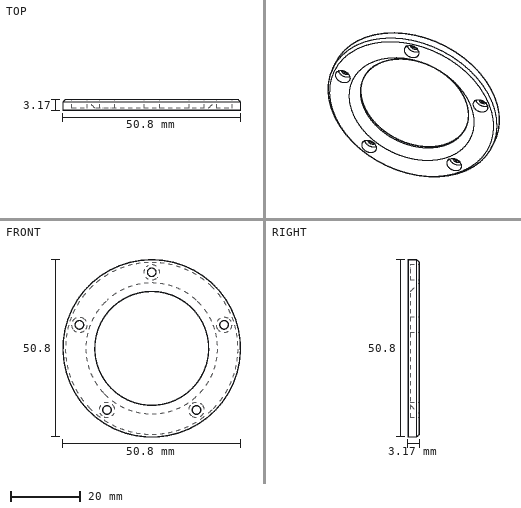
import cadquery as cq

outer_diameter = 50.8
bore_diameter = 32.5
thickness = 3.175
rim_chamfer = 0.762

bore_land = 0.635
bore_flare = thickness - bore_land

hole_count = 5
hole_diameter = 2.4
hole_circle_diameter = 43.5
counterbore_diameter = 4.4
counterbore_floor = bore_land


def plane_at(depth):
    """Workplane facing +Y at the given depth behind the front face; its local x axis is +Z."""
    plane = cq.Plane(origin=(0, depth, 0), xDir=(0, 0, 1), normal=(0, 1, 0))
    return cq.Workplane(plane)


def make_disc():
    """Round disc with its back outer edge chamfered."""
    disc = plane_at(0).circle(outer_diameter / 2).extrude(thickness)
    return disc.faces(">Y").edges().chamfer(rim_chamfer)


def make_bore():
    """Cutter for the central opening: a straight land, then a cone widening to the back."""
    bore_radius = bore_diameter / 2
    land = plane_at(0).circle(bore_radius).extrude(bore_land)
    cone = cq.Solid.makeCone(
        bore_radius,
        bore_radius + bore_flare,
        bore_flare,
        pnt=cq.Vector(0, bore_land, 0),
        dir=cq.Vector(0, 1, 0),
    )
    return land.union(cq.Workplane(cone))


def make_holes(diameter, start):
    """Ring of hole cutters running from the given depth to the back face."""
    return (
        plane_at(start)
        .polarArray(hole_circle_diameter / 2, 0, 360, hole_count)
        .circle(diameter / 2)
        .extrude(thickness - start)
    )


screw_holes = make_holes(hole_diameter, 0)
counterbores = make_holes(counterbore_diameter, counterbore_floor)
result = make_disc().cut(make_bore()).cut(screw_holes).cut(counterbores)